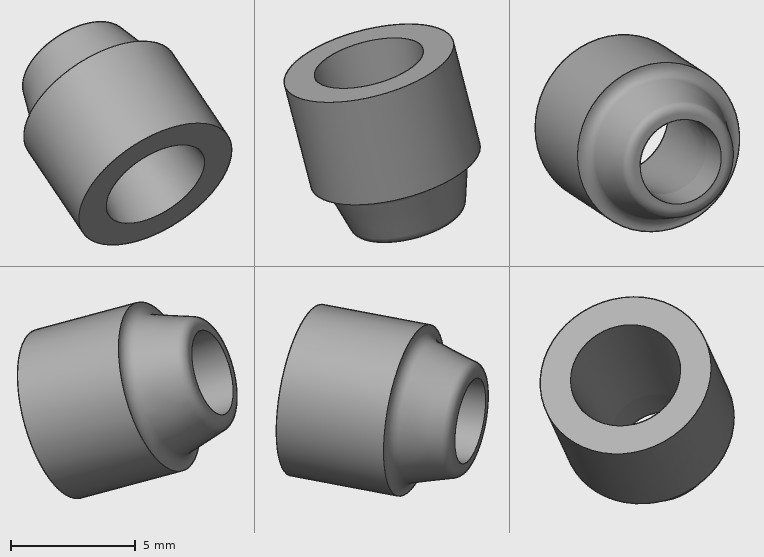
import cadquery as cq
import math

length = 7.0
body_radius = 3.5

nose_length = 2.4
tip_face_radius = 2.0
tip_round = 0.4
root_fillet = 0.5
shoulder_inner_radius = 3.375

bore_radius = 1.75
bore_length = 1.6
flare_end_radius = 2.25


def cone_half_angle():
    """Angle of the line tangent to both the tip round and the root fillet."""
    run = nose_length - root_fillet - tip_round
    rise = shoulder_inner_radius - tip_face_radius
    centre_distance = math.hypot(run, rise)
    return math.atan2(rise, run) - math.asin((tip_round + root_fillet) / centre_distance)


def arc_point(centre, radius, angle):
    """Point (x, radial) on an arc, with the angle measured from +X."""
    return (centre[0] + radius * math.cos(angle), centre[1] + radius * math.sin(angle))


def turn(profile):
    """Close a profile and revolve it about the X axis."""
    return profile.close().revolve(360, (0, 0, 0), (1, 0, 0))


def solid_body():
    """Cylinder with a conical nose, rounded at the tip and filleted into the shoulder."""
    cone_angle = cone_half_angle()
    tip_centre = (tip_round, tip_face_radius)
    root_centre = (nose_length - root_fillet, shoulder_inner_radius)

    tip_end_angle = math.pi / 2 + cone_angle
    tip_mid_angle = (math.pi + tip_end_angle) / 2

    root_start_angle = cone_angle - math.pi / 2
    root_mid_angle = root_start_angle / 2

    profile = (
        cq.Workplane("XY")
        .moveTo(0, 0)
        .lineTo(0, tip_face_radius)
        .threePointArc(
            arc_point(tip_centre, tip_round, tip_mid_angle),
            arc_point(tip_centre, tip_round, tip_end_angle),
        )
        .lineTo(*arc_point(root_centre, root_fillet, root_start_angle))
        .threePointArc(
            arc_point(root_centre, root_fillet, root_mid_angle),
            (nose_length, shoulder_inner_radius),
        )
        .lineTo(nose_length, body_radius)
        .lineTo(length, body_radius)
        .lineTo(length, 0)
    )
    return turn(profile)


def flared_bore():
    """Through bore: straight at the nose, then opening gently to the far face."""
    profile = (
        cq.Workplane("XY")
        .moveTo(0, 0)
        .lineTo(0, bore_radius)
        .lineTo(bore_length, bore_radius)
        .lineTo(length, flare_end_radius)
        .lineTo(length, 0)
    )
    return turn(profile)


result = solid_body().cut(flared_bore())